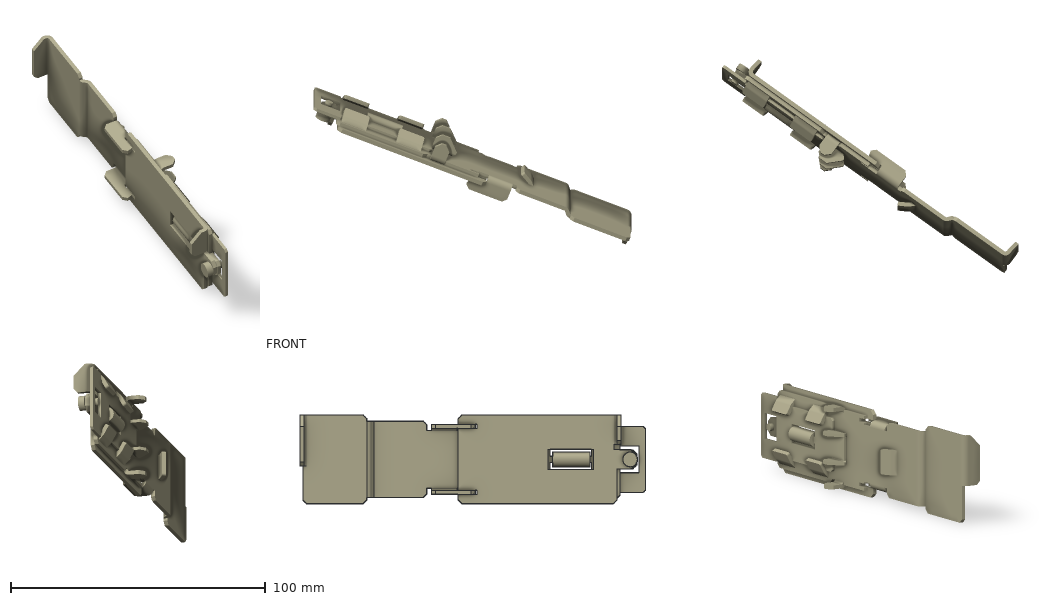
import cadquery as cq
import math

SHEET = 1.6
LATCH_SHEET = 1.2
BEND_R = 2.4
LATCH_BEND_R = 1.5
HEIGHT = 35.0
MID_Z = HEIGHT / 2
LENGTH = 135.83

COVER_Y = 6.9
BASE_Y = COVER_Y + SHEET
LATCH_Y = BASE_Y + SHEET
LATCH_BACK_Y = LATCH_Y + LATCH_SHEET
END_Y = 6.35

END_X = 1.2
END_RIGHT_X = 26.3
END_CORNER = 1.5
END_TAB_BOTTOM_Z = 14.9
TAB_SLOPE = 4.5
TAB_CORNER = 1.6

STEP_X = 27.3
STEP_ANGLE = math.radians(50)
STEP_BEND_R = 2.4
STEP_TOP_X = STEP_X + (BASE_Y - END_Y) / math.tan(STEP_ANGLE)

BASE_HALF = 15.0
BASE_RIGHT_HALF = 15.5
BASE_CORNER = 1.4
BASE_RIGHT_X = 125.8
NECK_LEFT_X = 49.9
NECK_RIGHT_X = 66.0
FLAP_OUT = 13.75
FLAP_LEFT_X = 51.7
FLAP_ROOT_X = 61.8
FLAP_TIP_X = 68.9
FLAP_Y = 2.5
FLAP_SLOT_END_X = 69.5
BASE_NOSE_HALF = 3.7
BASE_NOSE_TIP_X = 132.4
BASE_NOSE_CORNER = 1.6
GUIDE_OUT = 16.3
GUIDE_LEFT_X = 80.3
GUIDE_RIGHT_X = 86.2
GUIDE_Y = 16.7
GUIDE_NOTCH_LEFT_X = 79.8
GUIDE_NOTCH_RIGHT_X = 87.7
GUIDE_NOTCH_CORNER = 1.8

LUG_KNEE = (1.95, 2.0)
LUG_TIP = (5.8, 4.2)
LUG_TIP_R = 0.8
CLIP_FOOT = 13.8
CLIP_LENGTH = 10.4
CLIP_LEFT_XS = (90.6, 113.7)
TONGUE_FOOT_X = 42.7
TONGUE_WIDTH = 10.0

COVER_LEFT_X = 62.1
COVER_RIGHT_X = 124.6
COVER_CORNER = 1.6
COVER_TAB_OUT_X = 126.2
COVER_TAB_Y = 0.4
COVER_TAB_BOTTOM_Z = 23.4
RELIEF_X = 123.4
NOSE_HALF = 3.8
NOSE_TIP_X = 132.0
NOSE_CORNER = 2.0

LATCH_NARROW_HALF = 10.8
LATCH_WIDE_HALF = 13.0
LATCH_LEFT_X = 77.9
LATCH_WIDE_X = 124.8
LATCH_CORNER = 1.0
HOOK_OUT = 6.3
HOOK_LEFT_X = 76.3
HOOK_Y = 17.15
PIN_SLOT_LEFT_X = 125.0
PIN_SLOT_RIGHT_X = 133.1
PIN_SLOT_HALF = 5.2

WINDOW_LEFT_X = 97.5
WINDOW_RIGHT_X = 115.3
WINDOW_HALF = 3.9
LATCH_WINDOW_INSET = 0.8
SPRING_LEFT_X = 99.3
SPRING_RIGHT_X = 114.0
SPRING_R = 3.0
SPRING_TONGUE_HALF = 1.3

PIN_X = 129.75
PIN_HEAD_R = 2.9
PIN_R = 1.5
PIN_HEAD_Y = 4.1
PIN_HEAD_T = 2.5
PIN_TAIL_Y = 11.8


def sheet(points, y, thickness):
    """Flat plate with an (x, z) outline, from y to y + thickness."""
    return cq.Workplane("XZ", origin=(0, y, 0)).polyline(points).close().extrude(-thickness)


def mirrored_sheet(upper, y, thickness):
    """Plate symmetric about MID_Z; upper is its (x, half width) outline from left to right."""
    top = [(x, MID_Z + half) for x, half in upper]
    bottom = [(x, MID_Z - half) for x, half in reversed(upper)]
    return sheet(top + bottom, y, thickness)


def slab(x0, x1, y0, y1, z0, z1):
    return cq.Workplane("XY").box(x1 - x0, y1 - y0, z1 - z0, centered=False).translate((x0, y0, z0))


def mirror_z(body):
    """Copy of a body on the other side of the MID_Z plane."""
    return body.mirror("XY", (0, 0, MID_Z))


def bend_profile(plane, out, side, face, toward, tip, radius, thickness):
    """Closed L section of a bent flange.

    out: position of the outer flange face; side: +1 or -1, the way that face looks.
    face: plate face on the outside of the bend; toward: +1 or -1, the way the flange stands.
    """
    root = out - side * radius
    tangent = face + toward * radius
    inner = radius - thickness
    diagonal = math.sqrt(0.5)
    outer_mid = (root + side * radius * diagonal, tangent - toward * radius * diagonal)
    inner_mid = (root + side * inner * diagonal, tangent - toward * inner * diagonal)
    return (
        plane.moveTo(root, face)
        .threePointArc(outer_mid, (out, tangent))
        .lineTo(out, tip)
        .lineTo(out - side * thickness, tip)
        .lineTo(out - side * thickness, tangent)
        .threePointArc(inner_mid, (root, face + toward * thickness))
        .close()
    )


def edge_flange(outline, out, face, toward, tip, radius, thickness):
    """Flange along an upper plate edge, trimmed to its (x, y) outline, plus its mirror copy."""
    xs = [x for x, _ in outline]
    plane = cq.Workplane("ZY", origin=(max(xs), 0, 0))
    section = bend_profile(plane, MID_Z + out, 1, face, toward, tip, radius, thickness)
    trim = cq.Workplane("XY").polyline(outline).close().extrude(HEIGHT)
    flange = section.extrude(max(xs) - min(xs)).intersect(trim)
    return flange.union(mirror_z(flange))


def end_tab_flange(out, side, face, tip, bottom_z):
    """Forward tab on a vertical plate edge, with a long top slope and a small bottom corner."""
    plane = cq.Workplane("XY", origin=(0, 0, bottom_z))
    tab = bend_profile(plane, out, side, face, -1, tip, BEND_R, SHEET).extrude(HEIGHT - bottom_z)
    outline = [
        (face, HEIGHT),
        (tip + TAB_SLOPE, HEIGHT),
        (tip, HEIGHT - TAB_SLOPE),
        (tip, bottom_z + TAB_CORNER),
        (tip + TAB_CORNER, bottom_z),
        (face, bottom_z),
    ]
    trim = cq.Workplane("YZ").polyline(outline).close().extrude(LENGTH)
    return tab.intersect(trim)


def make_lug(plane, foot, side, width):
    """Springy lug rising from the back of the base plate: steep, then bent over to a shallow slope."""
    steep = math.atan2(LUG_KNEE[1], LUG_KNEE[0])
    shallow = math.atan2(LUG_TIP[1] - LUG_KNEE[1], LUG_TIP[0] - LUG_KNEE[0])
    middle = (steep + shallow) / 2
    center_distance = BEND_R / math.cos((steep - shallow) / 2)
    center_reach = LUG_KNEE[0] + center_distance * math.sin(middle)
    center_rise = LUG_KNEE[1] - center_distance * math.cos(middle)
    inner_r = BEND_R - SHEET

    def point(reach, rise):
        return (foot + side * reach, LATCH_Y + rise)

    def on_bend(radius, slope):
        return point(center_reach - radius * math.sin(slope), center_rise + radius * math.cos(slope))

    lug = (
        plane.moveTo(*point(0, 0))
        .lineTo(*on_bend(BEND_R, steep))
        .threePointArc(on_bend(BEND_R, middle), on_bend(BEND_R, shallow))
        .lineTo(*point(*LUG_TIP))
        .lineTo(*point(LUG_TIP[0] + SHEET * math.sin(shallow), LUG_TIP[1] - SHEET * math.cos(shallow)))
        .lineTo(*on_bend(inner_r, shallow))
        .threePointArc(on_bend(inner_r, middle), on_bend(inner_r, steep))
        .lineTo(*point(SHEET / math.sin(steep), 0))
        .close()
        .extrude(width)
    )
    across_tip = plane.plane.xDir * (side * math.sin(shallow)) - plane.plane.yDir * math.cos(shallow)
    return lug.edges(cq.selectors.ParallelDirSelector(across_tip)).fillet(LUG_TIP_R)


def make_end_plate():
    tab_root_x = BEND_R
    outline = [
        (tab_root_x, HEIGHT),
        (END_RIGHT_X - END_CORNER, HEIGHT),
        (END_RIGHT_X, HEIGHT - END_CORNER),
        (END_RIGHT_X, END_CORNER),
        (END_RIGHT_X - END_CORNER, 0),
        (END_X + END_CORNER, 0),
        (END_X, END_CORNER),
        (END_X, END_TAB_BOTTOM_Z),
        (tab_root_x, END_TAB_BOTTOM_Z),
    ]
    plate = sheet(outline, END_Y, SHEET)
    tab = end_tab_flange(0, -1, END_Y + SHEET, 0, END_TAB_BOTTOM_Z)
    return plate.union(tab).union(make_step())


def make_step():
    """Slanted step, rounded on the outside of both bends and as tall as the base plate."""
    back_shift = SHEET * math.tan(STEP_ANGLE / 2)
    left_x = STEP_X - 2 * STEP_BEND_R
    right_x = STEP_TOP_X + 2 * STEP_BEND_R
    outline = [
        (left_x, END_Y),
        (STEP_X, END_Y),
        (STEP_TOP_X, BASE_Y),
        (right_x, BASE_Y),
        (right_x, LATCH_Y),
        (STEP_TOP_X - back_shift, LATCH_Y),
        (STEP_X - back_shift, END_Y + SHEET),
        (left_x, END_Y + SHEET),
    ]
    step = cq.Workplane("XY", origin=(0, 0, MID_Z - BASE_HALF)).polyline(outline).close()
    step = step.extrude(2 * BASE_HALF)
    for x, y in ((STEP_X, END_Y), (STEP_TOP_X - back_shift, LATCH_Y)):
        bend_edge = cq.selectors.NearestToPointSelector((x, y, MID_Z))
        step = step.edges("|Z").edges(bend_edge).fillet(STEP_BEND_R)
    return step


def make_base_plate():
    neck_half = FLAP_OUT - BEND_R
    guide_half = GUIDE_OUT - BEND_R
    upper = [
        (STEP_TOP_X + STEP_BEND_R, BASE_HALF),
        (NECK_LEFT_X - BASE_CORNER, BASE_HALF),
        (NECK_LEFT_X, BASE_HALF - BASE_CORNER),
        (NECK_LEFT_X, neck_half),
        (NECK_RIGHT_X, neck_half),
        (NECK_RIGHT_X, BASE_HALF),
        (GUIDE_NOTCH_LEFT_X, BASE_HALF),
        (GUIDE_NOTCH_LEFT_X, guide_half),
        (GUIDE_NOTCH_RIGHT_X, guide_half),
        (GUIDE_NOTCH_RIGHT_X + GUIDE_NOTCH_CORNER, BASE_RIGHT_HALF),
        (BASE_RIGHT_X - BASE_CORNER, BASE_RIGHT_HALF),
        (BASE_RIGHT_X, BASE_RIGHT_HALF - BASE_CORNER),
        (BASE_RIGHT_X, BASE_NOSE_HALF),
        (BASE_NOSE_TIP_X - BASE_NOSE_CORNER, BASE_NOSE_HALF),
        (BASE_NOSE_TIP_X, BASE_NOSE_HALF - BASE_NOSE_CORNER),
    ]
    plate = mirrored_sheet(upper, BASE_Y, SHEET)
    return plate.union(make_front_flaps()).union(make_guides()).union(make_lugs())


def make_front_flaps():
    corner = 1.6
    lower_edge_y = 6.5
    tip_slant = 0.7
    outline = [
        (FLAP_LEFT_X, LATCH_Y),
        (FLAP_LEFT_X, FLAP_Y + corner),
        (FLAP_LEFT_X + corner, FLAP_Y),
        (FLAP_TIP_X - corner, FLAP_Y),
        (FLAP_TIP_X, FLAP_Y + corner),
        (FLAP_TIP_X - tip_slant, lower_edge_y),
        (FLAP_ROOT_X, lower_edge_y),
        (FLAP_ROOT_X, LATCH_Y),
    ]
    return edge_flange(outline, FLAP_OUT, LATCH_Y, -1, FLAP_Y, BEND_R, SHEET)


def make_guides():
    corner = 2.0
    outline = [
        (GUIDE_LEFT_X, BASE_Y),
        (GUIDE_LEFT_X, GUIDE_Y - corner),
        (GUIDE_LEFT_X + corner, GUIDE_Y),
        (GUIDE_RIGHT_X - corner, GUIDE_Y),
        (GUIDE_RIGHT_X, GUIDE_Y - corner),
        (GUIDE_RIGHT_X, BASE_Y),
    ]
    return edge_flange(outline, GUIDE_OUT, BASE_Y, 1, GUIDE_Y, BEND_R, SHEET)


def make_lugs():
    tongue_plane = cq.Workplane("XY", origin=(0, 0, MID_Z - TONGUE_WIDTH / 2))
    lugs = make_lug(tongue_plane, TONGUE_FOOT_X, 1, TONGUE_WIDTH)
    for left_x in CLIP_LEFT_XS:
        clip_plane = cq.Workplane("ZY", origin=(left_x + CLIP_LENGTH, 0, 0))
        clip = make_lug(clip_plane, MID_Z + CLIP_FOOT, -1, CLIP_LENGTH)
        lugs = lugs.union(clip).union(mirror_z(clip))
    return lugs


def make_cover_plate():
    tab_root_x = COVER_TAB_OUT_X - BEND_R
    nose_top_z = MID_Z + NOSE_HALF
    nose_bottom_z = MID_Z - NOSE_HALF
    outline = [
        (COVER_LEFT_X, COVER_CORNER),
        (COVER_LEFT_X, HEIGHT - COVER_CORNER),
        (COVER_LEFT_X + COVER_CORNER, HEIGHT),
        (tab_root_x, HEIGHT),
        (tab_root_x, COVER_TAB_BOTTOM_Z),
        (RELIEF_X, COVER_TAB_BOTTOM_Z),
        (RELIEF_X, nose_top_z),
        (NOSE_TIP_X - NOSE_CORNER, nose_top_z),
        (NOSE_TIP_X, nose_top_z - NOSE_CORNER),
        (NOSE_TIP_X, nose_bottom_z + NOSE_CORNER),
        (NOSE_TIP_X - NOSE_CORNER, nose_bottom_z),
        (COVER_RIGHT_X, nose_bottom_z),
        (COVER_RIGHT_X, COVER_CORNER),
        (COVER_RIGHT_X - COVER_CORNER, 0),
        (COVER_LEFT_X + COVER_CORNER, 0),
    ]
    plate = sheet(outline, COVER_Y, SHEET)
    tab = end_tab_flange(COVER_TAB_OUT_X, 1, BASE_Y, COVER_TAB_Y, COVER_TAB_BOTTOM_Z)
    return plate.union(tab)


def make_flap_slots():
    """Slots through the cover and base plates, in line with the free ends of the front flaps."""
    top_z = MID_Z + FLAP_OUT
    slot = slab(COVER_LEFT_X, FLAP_SLOT_END_X, COVER_Y, LATCH_Y, top_z - SHEET, top_z)
    return slot.union(mirror_z(slot))


def make_latch():
    hook_root = HOOK_OUT - LATCH_BEND_R
    upper = [
        (LATCH_LEFT_X, hook_root),
        (GUIDE_RIGHT_X, hook_root),
        (GUIDE_RIGHT_X, LATCH_NARROW_HALF - LATCH_CORNER),
        (GUIDE_RIGHT_X + LATCH_CORNER, LATCH_NARROW_HALF),
        (LATCH_WIDE_X, LATCH_NARROW_HALF),
        (LATCH_WIDE_X, LATCH_WIDE_HALF),
        (LENGTH - LATCH_CORNER, LATCH_WIDE_HALF),
        (LENGTH, LATCH_WIDE_HALF - LATCH_CORNER),
    ]
    plate = mirrored_sheet(upper, LATCH_Y, LATCH_SHEET)
    pin_slot = slab(
        PIN_SLOT_LEFT_X, PIN_SLOT_RIGHT_X, LATCH_Y, LATCH_BACK_Y, MID_Z - PIN_SLOT_HALF, MID_Z + PIN_SLOT_HALF
    )
    window = make_window(LATCH_WINDOW_INSET, LATCH_Y, LATCH_BACK_Y)
    spring_tongue = slab(
        WINDOW_LEFT_X,
        WINDOW_RIGHT_X,
        LATCH_Y,
        LATCH_BACK_Y,
        MID_Z - SPRING_TONGUE_HALF,
        MID_Z + SPRING_TONGUE_HALF,
    )
    return plate.cut(pin_slot).cut(window).union(spring_tongue).union(make_hooks())


def make_hooks():
    corner = 2.0
    nose_y = 12.6
    root_rise = LATCH_LEFT_X - HOOK_LEFT_X
    outline = [
        (LATCH_LEFT_X, LATCH_Y),
        (HOOK_LEFT_X, LATCH_Y + root_rise),
        (HOOK_LEFT_X, nose_y),
        (HOOK_LEFT_X + HOOK_Y - nose_y, HOOK_Y),
        (GUIDE_RIGHT_X - corner, HOOK_Y),
        (GUIDE_RIGHT_X, HOOK_Y - corner),
        (GUIDE_RIGHT_X, LATCH_Y),
    ]
    return edge_flange(outline, HOOK_OUT, LATCH_Y, 1, HOOK_Y, LATCH_BEND_R, LATCH_SHEET)


def make_window(inset, y0, y1):
    return slab(
        WINDOW_LEFT_X + inset, WINDOW_RIGHT_X - inset, y0, y1, MID_Z - WINDOW_HALF, MID_Z + WINDOW_HALF
    )


def make_spring():
    plane = cq.Workplane("YZ", origin=(SPRING_LEFT_X, LATCH_Y, MID_Z))
    return plane.circle(SPRING_R).extrude(SPRING_RIGHT_X - SPRING_LEFT_X)


def make_pin():
    head = cq.Workplane("XZ", origin=(PIN_X, PIN_HEAD_Y, MID_Z)).circle(PIN_HEAD_R).extrude(-PIN_HEAD_T)
    shank = cq.Workplane("XZ", origin=(PIN_X, PIN_HEAD_Y, MID_Z)).circle(PIN_R)
    return head.union(shank.extrude(PIN_HEAD_Y - PIN_TAIL_Y))


plates = make_end_plate().union(make_base_plate()).union(make_cover_plate())
plates = plates.cut(make_flap_slots()).cut(make_window(0, COVER_Y, LATCH_Y))
result = plates.union(make_latch()).union(make_spring()).union(make_pin())